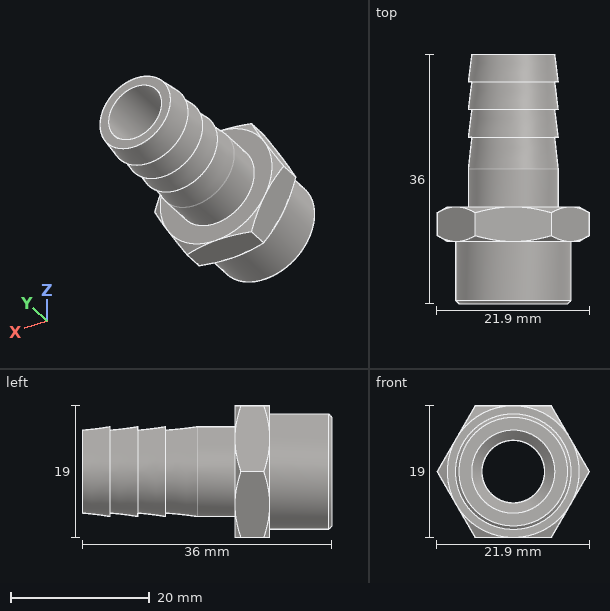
import cadquery as cq
import math

plug_length = 9.0
hex_length = 5.0
total_length = 36.0
barb_pitch = 4.0
short_barb_count = 3
long_barb_length = 4.57

plug_diameter = 16.65
plug_chamfer = 0.5
hex_sides = 6
hex_across_flats = 19.0
hex_chamfer_angle = 30.0
hose_diameter = 13.0
barb_tip_diameter = 12.0

plug_bore_diameter = 12.0
hose_bore_diameter = 9.0
plug_bore_depth = plug_length
bore_cone_angle = 90.0

hex_across_corners = hex_across_flats / math.cos(math.pi / hex_sides)
plug_end = -total_length / 2
hex_start = plug_end + plug_length
hex_end = hex_start + hex_length
hose_end = total_length / 2


def revolve_about_y(points):
    """Spin a closed (radius, y) outline around the Y axis."""
    return cq.Workplane("XY").polyline(points).close().revolve(360, (0, 0, 0), (0, 1, 0))


def make_hexagon():
    """Hexagon with corners on the X axis, both faces chamfered down to the across-flats circle."""
    prism = (
        cq.Workplane("XZ", origin=(0, hex_start, 0))
        .polygon(hex_sides, hex_across_corners)
        .extrude(-hex_length)
    )
    flat_radius = hex_across_flats / 2
    corner_radius = hex_across_corners / 2
    chamfer_drop = (corner_radius - flat_radius) * math.tan(math.radians(hex_chamfer_angle))
    envelope = revolve_about_y([
        (0, hex_start),
        (flat_radius, hex_start),
        (corner_radius, hex_start + chamfer_drop),
        (corner_radius, hex_end - chamfer_drop),
        (flat_radius, hex_end),
        (0, hex_end),
    ])
    return prism.intersect(envelope)


def make_plug():
    """Plain cylinder with a chamfered free end."""
    radius = plug_diameter / 2
    return revolve_about_y([
        (0, plug_end),
        (radius - plug_chamfer, plug_end),
        (radius, plug_end + plug_chamfer),
        (radius, hex_start),
        (0, hex_start),
    ])


def make_hose_tail():
    """Tail whose barbs taper towards the hose end; the barb next to the shank is longer."""
    root_radius = hose_diameter / 2
    tip_radius = barb_tip_diameter / 2
    points = [(0, hose_end)]
    barb_tip = hose_end
    for _ in range(short_barb_count):
        barb_root = barb_tip - barb_pitch
        points += [(tip_radius, barb_tip), (root_radius, barb_root)]
        barb_tip = barb_root
    points += [
        (tip_radius, barb_tip),
        (root_radius, barb_tip - long_barb_length),
        (root_radius, hex_end),
        (0, hex_end),
    ]
    return revolve_about_y(points)


def make_bore():
    """Wide bore from the plug end, joined by a cone to the narrow bore through the tail."""
    wide_radius = plug_bore_diameter / 2
    narrow_radius = hose_bore_diameter / 2
    cone_start = plug_end + plug_bore_depth
    cone_length = (wide_radius - narrow_radius) / math.tan(math.radians(bore_cone_angle / 2))
    return revolve_about_y([
        (0, plug_end),
        (wide_radius, plug_end),
        (wide_radius, cone_start),
        (narrow_radius, cone_start + cone_length),
        (narrow_radius, hose_end),
        (0, hose_end),
    ])


result = make_hexagon().union(make_plug()).union(make_hose_tail()).cut(make_bore())